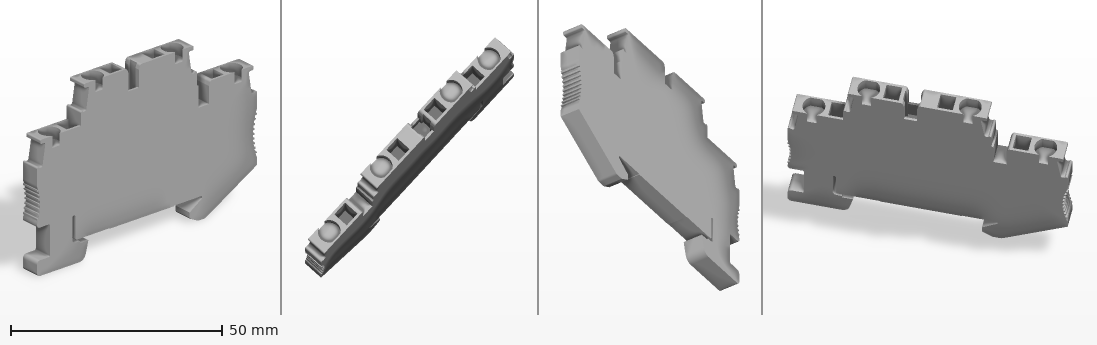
import cadquery as cq
import math

THICKNESS = 5.2
LENGTH = 67.91
HEIGHT = 46.0
Y_BACK = LENGTH / 2
Y_FRONT = -LENGTH / 2
X_MID = THICKNESS / 2

LOWER_TOP = 35.37
UPPER_TOP = HEIGHT
UPPER_BACK = Y_BACK - 18.5
FRONT_STEP = 13.5
UPPER_FRONT = Y_FRONT + FRONT_STEP

LIP_OVERHANG = 1.06
LIP_RADIUS = 0.35
LIP_THICKNESS = 1.14
LIP_UNDERCUT = 1.48
ROOT_RADIUS = 0.4
WALL_FOOT = 0.65
SHOULDER_DROP = 6.93
SHOULDER_RADIUS = 0.4
GUTTER_DEPTH = 0.3
GUTTER_RADIUS = 0.4
GUTTER_WIDTH = 0.9

SLOT_WIDTH = 3.2
SLOT_DEPTH = 5.98
MOUTH_DEPTH = 1.3
MOUTH_SLOPE_WIDTH = 0.3
MOUTH_ROUND_DEPTH = 0.45
LOWER_SLOT_Y = Y_BACK - 16.43
UPPER_SLOT_Y = Y_BACK - 38.08
LEDGE_DROP = 0.3

WIRE_DIAMETER = 5.4
WIRE_DEPTH = 3.15
WIRE_X = 2.74
WIRE_WALL = 0.42
LOWER_WIRE_INSET = 4.8
UPPER_WIRE_INSET = 4.6
RELEASE_WIDTH = 3.95
RELEASE_LENGTH = 3.8
RELEASE_SPACING = FRONT_STEP - LIP_OVERHANG - LOWER_WIRE_INSET - RELEASE_LENGTH / 2
RELEASE_DEPTH = 10.0
GROOVE_WIDTH = 2.6
GROOVE_DEPTH = 0.54

GRIP_TOOTH_WIDTH = 0.45
GRIP_TOOTH_HEIGHT = 0.42
GRIP_PITCH = 1.24
GRIP_EDGE_RADIUS = 1.7
BACK_GRIP = {"z": 17.5, "half_height": 6.4, "depth": 1.27, "teeth": 9}
FRONT_GRIP = {"z": 18.63, "half_height": 4.8, "depth": 0.9, "teeth": 7}

SLOPE_TOP = 9.2
RAIL_SEAT = 6.12
SEAT_PAD_DEPTH = 0.15
SEAT_PAD_BACK = Y_BACK - 25.6
SEAT_PAD_FRONT = Y_BACK - 45.5
HOOK_BOTTOM_BACK = Y_BACK - 16.0
HOOK_BOTTOM_FRONT = Y_BACK - 18.2
HOOK_BOTTOM_RADIUS = 1.2
HOOK_TIP_Y = Y_BACK - 20.8
HOOK_TIP_LOW = 1.3
HOOK_TIP_HIGH = 2.9
HOOK_TIP_RADIUS = 0.6
HOOK_THROAT_Y = Y_BACK - 16.95
HOOK_THROAT_Z = 5.5

CLIP_TIP_Y = Y_BACK - 52.05
CLIP_TIP_Z = 4.9
CLIP_NOSE_Y = Y_BACK - 52.9
CLIP_NOSE_Z = 1.5
CLIP_NOSE_END = Y_BACK - 54.9
CLIP_STEP_Y = Y_BACK - 54.7
CLIP_STEP_Z = 5.45
SLIT_BACK = Y_BACK - 56.1
SLIT_FRONT = Y_BACK - 57.0
SLIT_TOP = 12.7
SLIT_INNER_CHAMFER = 0.35
SLIT_OUTER_RADIUS = 1.1
STEM_FRONT = Y_BACK - 63.95
STEM_TOP = 12.62
STEM_TOP_RADIUS = 0.8
STEM_ROOT_RADIUS = 0.35
TAB_TOP = 4.1
TAB_RADIUS = 1.0
TAB_ROOT_RADIUS = 0.35


def plate(profile):
    """Close a YZ profile and extrude it through the full thickness."""
    return profile.close().extrude(THICKNESS)


def block(x_width, y_low, y_high, z_low, z_high):
    """Box centred on the middle of the thickness."""
    box = cq.Workplane("XY").box(x_width, y_high - y_low, z_high - z_low)
    return box.translate((X_MID, (y_low + y_high) / 2, (z_low + z_high) / 2))


def arc_corner(profile, corner, radius, y_in, z_in, y_out, z_out):
    """Round a square corner; the unit steps give the directions into and out of it."""
    y, z = corner
    bulge = radius * (1 - math.sqrt(0.5))
    start = (y - y_in * radius, z - z_in * radius)
    middle = (y + (y_out - y_in) * bulge, z + (z_out - z_in) * bulge)
    end = (y + y_out * radius, z + z_out * radius)
    return profile.lineTo(*start).threePointArc(middle, end)


def body():
    """Stepped outline with the fixed rail hook at the back and the clip at the front."""
    outline = cq.Workplane("YZ").moveTo(Y_BACK, SLOPE_TOP).lineTo(Y_BACK, LOWER_TOP)
    outline = outline.lineTo(UPPER_BACK, LOWER_TOP).lineTo(UPPER_BACK, UPPER_TOP)
    outline = outline.lineTo(UPPER_FRONT, UPPER_TOP).lineTo(UPPER_FRONT, LOWER_TOP)
    outline = outline.lineTo(Y_FRONT, LOWER_TOP)

    outline = arc_corner(outline, (Y_FRONT, STEM_TOP), STEM_TOP_RADIUS, 0, -1, 1, 0)
    outline = arc_corner(outline, (STEM_FRONT, STEM_TOP), STEM_ROOT_RADIUS, 1, 0, 0, -1)
    outline = arc_corner(outline, (STEM_FRONT, TAB_TOP), TAB_ROOT_RADIUS, 0, -1, -1, 0)
    outline = arc_corner(outline, (Y_FRONT, TAB_TOP), TAB_RADIUS, -1, 0, 0, -1)
    outline = arc_corner(outline, (Y_FRONT, 0), TAB_RADIUS, 0, -1, 1, 0)
    nose_slope = (CLIP_TIP_Y - CLIP_NOSE_Y, CLIP_TIP_Z - CLIP_NOSE_Z)
    outline = outline.lineTo(CLIP_NOSE_END, 0).tangentArcPoint((CLIP_NOSE_Y, CLIP_NOSE_Z), relative=False)
    outline = outline.line(*nose_slope).lineTo(CLIP_STEP_Y, CLIP_TIP_Z).lineTo(CLIP_STEP_Y, CLIP_STEP_Z)
    outline = arc_corner(outline, (SLIT_FRONT, CLIP_STEP_Z), SLIT_OUTER_RADIUS, -1, 0, 0, 1)
    slit_radius = (SLIT_BACK - SLIT_FRONT) / 2
    outline = outline.lineTo(SLIT_FRONT, SLIT_TOP - slit_radius)
    outline = outline.threePointArc(
        (SLIT_FRONT + slit_radius, SLIT_TOP), (SLIT_BACK, SLIT_TOP - slit_radius)
    )
    outline = outline.lineTo(SLIT_BACK, RAIL_SEAT + SLIT_INNER_CHAMFER)
    outline = outline.lineTo(SLIT_BACK + SLIT_INNER_CHAMFER, RAIL_SEAT)

    outline = outline.lineTo(SEAT_PAD_FRONT, RAIL_SEAT).lineTo(SEAT_PAD_FRONT, RAIL_SEAT - SEAT_PAD_DEPTH)
    outline = outline.lineTo(SEAT_PAD_BACK, RAIL_SEAT - SEAT_PAD_DEPTH).lineTo(SEAT_PAD_BACK, RAIL_SEAT)
    outline = outline.lineTo(HOOK_THROAT_Y, RAIL_SEAT).lineTo(HOOK_THROAT_Y, HOOK_THROAT_Z)
    outline = outline.lineTo(HOOK_TIP_Y, HOOK_TIP_HIGH).lineTo(HOOK_TIP_Y, HOOK_TIP_LOW)
    outline = outline.lineTo(HOOK_BOTTOM_FRONT, 0).lineTo(HOOK_BOTTOM_BACK, 0)
    solid = plate(outline)
    hook_heel = cq.selectors.NearestToPointSelector((X_MID, HOOK_BOTTOM_BACK, 0))
    hook_tip = cq.selectors.NearestToPointSelector((X_MID, HOOK_TIP_Y, HOOK_TIP_LOW))
    solid = solid.edges("|X").edges(hook_heel).fillet(HOOK_BOTTOM_RADIUS)
    return solid.edges("|X").edges(hook_tip).fillet(HOOK_TIP_RADIUS)


def end_cutter(lip_y, top, outward):
    """Material outside a tier's lip, tapered wall, gutter and shoulder; outward is +1 or -1 in Y."""

    def point(inset, drop):
        return (lip_y - outward * inset, top - drop)

    lip_bulge = LIP_RADIUS * (1 - math.sqrt(0.5))
    shoulder_bulge = SHOULDER_RADIUS * (1 - math.sqrt(0.5))
    gutter_bottom = SHOULDER_DROP + GUTTER_DEPTH
    root_inset = LIP_UNDERCUT - ROOT_RADIUS
    gutter_inset = WALL_FOOT - GUTTER_RADIUS
    gutter_edge = WALL_FOOT - GUTTER_WIDTH
    profile = cq.Workplane("YZ").moveTo(*point(-LIP_OVERHANG, 0)).lineTo(*point(LIP_RADIUS, 0))
    profile = profile.threePointArc(point(lip_bulge, lip_bulge), point(0, LIP_RADIUS))
    profile = profile.lineTo(*point(0, LIP_THICKNESS - LIP_RADIUS))
    profile = profile.threePointArc(
        point(lip_bulge, LIP_THICKNESS - lip_bulge), point(LIP_RADIUS, LIP_THICKNESS)
    )
    profile = profile.lineTo(*point(root_inset, LIP_THICKNESS))
    profile = profile.tangentArcPoint(point(LIP_UNDERCUT, LIP_THICKNESS + ROOT_RADIUS), relative=False)
    profile = profile.lineTo(*point(WALL_FOOT, gutter_bottom - GUTTER_RADIUS))
    profile = profile.tangentArcPoint(point(gutter_inset, gutter_bottom), relative=False)
    profile = profile.lineTo(*point(gutter_edge, gutter_bottom))
    profile = profile.lineTo(*point(gutter_edge - GUTTER_DEPTH, SHOULDER_DROP))
    profile = profile.lineTo(*point(SHOULDER_RADIUS - LIP_OVERHANG, SHOULDER_DROP))
    profile = profile.threePointArc(
        point(shoulder_bulge - LIP_OVERHANG, SHOULDER_DROP + shoulder_bulge),
        point(-LIP_OVERHANG, SHOULDER_DROP + SHOULDER_RADIUS),
    )
    return plate(profile)


def slot_cutter(y, top, flared_sides):
    """Bridge slot whose mouth is widened and rounded on the given sides (+1 or -1 in Y)."""
    half = SLOT_WIDTH / 2
    cutter = plate(
        cq.Workplane("YZ").moveTo(y - half, top - SLOT_DEPTH).lineTo(y + half, top - SLOT_DEPTH)
        .lineTo(y + half, top).lineTo(y - half, top)
    )
    slope_angle = math.atan2(MOUTH_SLOPE_WIDTH, MOUTH_DEPTH - MOUTH_ROUND_DEPTH)
    tangent_length = MOUTH_ROUND_DEPTH / math.cos(slope_angle)
    mouth_width = MOUTH_SLOPE_WIDTH + tangent_length * (1 + math.sin(slope_angle))
    for side in flared_sides:
        wall = y + side * half
        flare = cq.Workplane("YZ").moveTo(y, top).lineTo(y, top - MOUTH_DEPTH)
        flare = flare.lineTo(wall, top - MOUTH_DEPTH)
        flare = flare.lineTo(wall + side * MOUTH_SLOPE_WIDTH, top - MOUTH_ROUND_DEPTH)
        flare = flare.tangentArcPoint((wall + side * mouth_width, top), relative=False)
        cutter = cutter.union(plate(flare))
    return cutter


def ledge_cutter():
    """Sloped ledge from the lower slot up to the wall of the upper tier."""
    slot_wall = LOWER_SLOT_Y - SLOT_WIDTH / 2
    profile = cq.Workplane("YZ").moveTo(slot_wall, LOWER_TOP).lineTo(UPPER_BACK, LOWER_TOP)
    return plate(profile.lineTo(slot_wall, LOWER_TOP - LEDGE_DROP))


def bridge_pocket():
    """Pocket in the floor of the upper slot, with a guide groove up both slot walls."""
    half = SLOT_WIDTH / 2
    groove_half = half + GROOVE_DEPTH
    floor = UPPER_TOP - RELEASE_DEPTH
    pocket = block(RELEASE_WIDTH, UPPER_SLOT_Y - half, UPPER_SLOT_Y + half, floor, UPPER_TOP)
    groove = block(
        GROOVE_WIDTH, UPPER_SLOT_Y - groove_half, UPPER_SLOT_Y + groove_half, floor, UPPER_TOP
    )
    return pocket.union(groove)


def terminal_cutter(lip_y, top, outward, wire_inset):
    """Round wire opening, open on the +X face, and the rectangular release opening beside it."""
    wire_y = lip_y - outward * wire_inset
    release_y = wire_y - outward * RELEASE_SPACING
    wire_floor = top - WIRE_DEPTH
    wire = cq.Workplane("XY").circle(WIRE_DIAMETER / 2).extrude(WIRE_DEPTH)
    wire = wire.translate((WIRE_X, wire_y, wire_floor))
    kept_wall = cq.Workplane("XY").box(WIRE_WALL, WIRE_DIAMETER, WIRE_DEPTH, centered=(False, True, False))
    wire = wire.cut(kept_wall.translate((0, wire_y, wire_floor)))
    half = RELEASE_LENGTH / 2
    release = block(RELEASE_WIDTH, release_y - half, release_y + half, top - RELEASE_DEPTH, top)
    return wire.union(release)


def add_grip(solid, end_y, outward, z, half_height, depth, teeth):
    """Sink a concave finger recess into an end face and stand a row of teeth in it."""
    radius = (half_height**2 + depth**2) / (2 * depth)
    axis_y = end_y + outward * (radius - depth)

    def disc(disc_radius):
        return cq.Workplane("YZ").center(axis_y, z).circle(disc_radius).extrude(THICKNESS)

    solid = solid.cut(disc(radius))
    for edge_z in (z - half_height, z + half_height):
        recess_edge = cq.selectors.NearestToPointSelector((X_MID, end_y, edge_z))
        solid = solid.edges("|X").edges(recess_edge).fillet(GRIP_EDGE_RADIUS)

    tip_clearance = disc(radius - GRIP_TOOTH_HEIGHT)
    root_y = end_y - outward * (depth + GRIP_TOOTH_HEIGHT)
    for index in range(teeth):
        tooth_z = z + (index - (teeth - 1) / 2) * GRIP_PITCH
        half = GRIP_TOOTH_WIDTH / 2
        tooth = block(
            THICKNESS, min(root_y, end_y), max(root_y, end_y), tooth_z - half, tooth_z + half
        )
        solid = solid.union(tooth.cut(tip_clearance))
    return solid


TIER_ENDS = [
    (Y_BACK - LIP_OVERHANG, LOWER_TOP, 1, LOWER_WIRE_INSET),
    (UPPER_BACK - LIP_OVERHANG, UPPER_TOP, 1, UPPER_WIRE_INSET),
    (UPPER_FRONT + LIP_OVERHANG, UPPER_TOP, -1, UPPER_WIRE_INSET),
    (Y_FRONT + LIP_OVERHANG, LOWER_TOP, -1, LOWER_WIRE_INSET),
]

result = body()
result = add_grip(result, Y_BACK, 1, **BACK_GRIP)
result = add_grip(result, Y_FRONT, -1, **FRONT_GRIP)
for lip_y, top, outward, wire_inset in TIER_ENDS:
    result = result.cut(end_cutter(lip_y, top, outward))
    result = result.cut(terminal_cutter(lip_y, top, outward, wire_inset))
result = result.cut(slot_cutter(LOWER_SLOT_Y, LOWER_TOP, [1])).cut(ledge_cutter())
result = result.cut(slot_cutter(UPPER_SLOT_Y, UPPER_TOP, [1, -1])).cut(bridge_pocket())